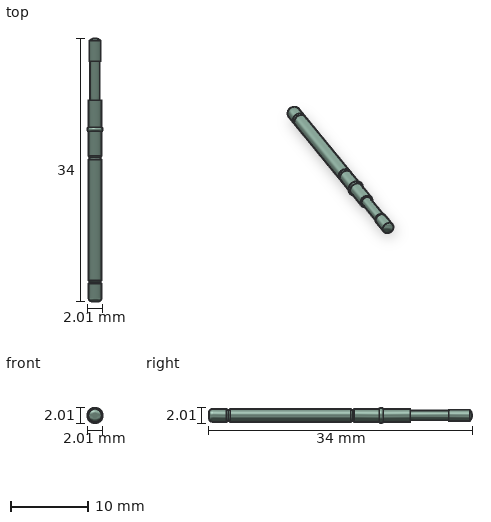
import cadquery as cq
import math

length = 34.0
rear_y = -length / 2
tip_y = length / 2

head_radius = 0.75
stem_radius = 0.65
barrel_radius = 0.85
ring_radius = 1.003

dome_height = 0.35
head_length = 3.0
barrel_offset = 8.0
ring_offset = 11.75
groove_offsets = (15.45, 31.5)

ring_width = 0.5
groove_width = 0.48
groove_depth = 0.17
rear_round = 0.48


def cylinder(radius, start_y, end_y):
    """Solid cylinder on the Y axis between two stations."""
    return cq.Workplane("XZ", origin=(0, end_y, 0)).circle(radius).extrude(end_y - start_y)


def revolve_about_y(profile):
    """Turn a closed XY profile around the Y axis."""
    return profile.revolve(360, (0, 0, 0), (0, 1, 0))


def make_barrel():
    """Tube with a rounded rear end."""
    barrel = cylinder(barrel_radius, rear_y, tip_y - barrel_offset)
    return barrel.faces("<Y").edges().fillet(rear_round)


def make_plunger():
    """Thin stem carrying a thicker head with a spherical tip."""
    stem = cylinder(stem_radius, tip_y - barrel_offset, tip_y - head_length)
    sphere_radius = (head_radius**2 + dome_height**2) / (2 * dome_height)
    mid_radius = head_radius / 2
    mid_y = tip_y - sphere_radius + math.sqrt(sphere_radius**2 - mid_radius**2)
    head_profile = (
        cq.Workplane("XY")
        .moveTo(0, tip_y - head_length)
        .lineTo(head_radius, tip_y - head_length)
        .lineTo(head_radius, tip_y - dome_height)
        .threePointArc((mid_radius, mid_y), (0, tip_y))
        .close()
    )
    return stem.union(revolve_about_y(head_profile))


def make_ring():
    """Press-fit collar with a rounded crest."""
    center_y = tip_y - ring_offset
    profile = (
        cq.Workplane("XY")
        .moveTo(0, center_y - ring_width / 2)
        .lineTo(barrel_radius, center_y - ring_width / 2)
        .threePointArc((ring_radius, center_y), (barrel_radius, center_y + ring_width / 2))
        .lineTo(0, center_y + ring_width / 2)
        .close()
    )
    return revolve_about_y(profile)


def make_groove(offset):
    """V-shaped crimp groove to be cut around the barrel."""
    center_y = tip_y - offset
    profile = (
        cq.Workplane("XY")
        .moveTo(barrel_radius, center_y - groove_width / 2)
        .lineTo(barrel_radius - groove_depth, center_y)
        .lineTo(barrel_radius, center_y + groove_width / 2)
        .close()
    )
    return revolve_about_y(profile)


result = make_barrel().union(make_plunger()).union(make_ring())
for groove_offset in groove_offsets:
    result = result.cut(make_groove(groove_offset))